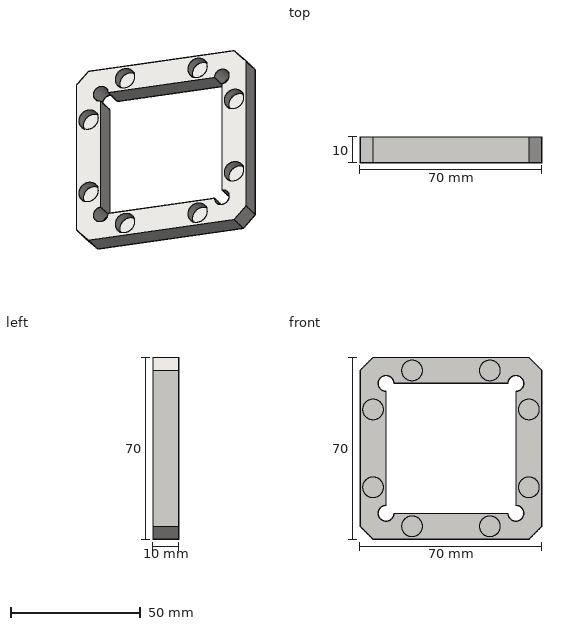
import cadquery as cq

outer_side = 70.0
thickness = 10.0
corner_chamfer = 5.0
window_side = 50.0
relief_diameter = 6.0

pocket_diameter = 8.0
pocket_depth = 5.0
pocket_half_spacing = 15.0
pocket_offset = (outer_side + window_side) / 4


def centered_plate(side):
    """Square plate through the full thickness, centered on the origin."""
    return cq.Workplane("XY").box(side, thickness, side)


def front_face():
    """Workplane on the front face, with its normal pointing toward -Y."""
    return cq.Workplane("XZ", origin=(0, -thickness / 2, 0))


frame = centered_plate(outer_side).edges("|Y").chamfer(corner_chamfer)

frame = frame.cut(centered_plate(window_side))
reliefs = (
    front_face()
    .rect(window_side, window_side, forConstruction=True)
    .vertices()
    .circle(relief_diameter / 2)
    .extrude(-thickness)
)
frame = frame.cut(reliefs)

pocket_centers = []
for bar_side in (-1, 1):
    for end in (-1, 1):
        across = bar_side * pocket_offset
        along = end * pocket_half_spacing
        pocket_centers.append((across, along))
        pocket_centers.append((along, across))

pockets = (
    front_face()
    .pushPoints(pocket_centers)
    .circle(pocket_diameter / 2)
    .extrude(-pocket_depth)
)
result = frame.cut(pockets)